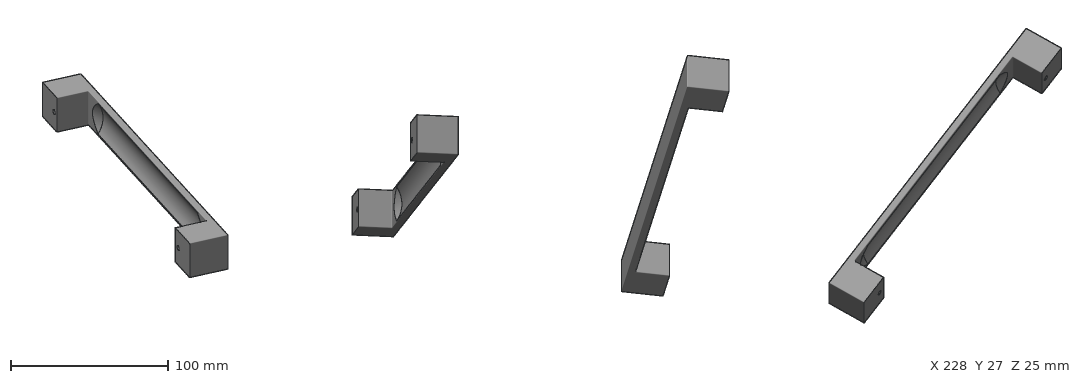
import cadquery as cq
import math

length = 228.0
depth = 27.0
height = 25.0

bar_thickness = 5.0
leg_width = 22.8
edge_radius = 0.5

scoop_width = 22.3
scoop_depth = 3.5
scoop_straight_length = 152.8
scoop_end_length = 8.7

hole_spacing = 192.0
hole_diameter = 3.2
hole_depth = 11.5
drill_point_angle = 118

front_y = -depth / 2
back_y = depth / 2
bar_front_y = back_y - bar_thickness
tolerance = 0.02


def make_body():
    """U-shaped handle, rounded everywhere except around the leg mounting faces."""
    block = cq.Workplane("XY").box(length, depth, height)
    gap_depth = depth - bar_thickness
    gap = (
        cq.Workplane("XY")
        .box(length - 2 * leg_width, gap_depth, height)
        .translate((0, front_y + gap_depth / 2, 0))
    )
    body = block.cut(gap)
    mounting_edges = cq.selectors.BoxSelector(
        (-length, front_y - tolerance, -height),
        (length, front_y + tolerance, height),
    )
    return body.edges(cq.selectors.InverseSelector(mounting_edges)).fillet(edge_radius)


def make_scoop():
    """Shallow cylindrical groove with conical ends, revolved about the groove axis."""
    half_width = scoop_width / 2
    groove_radius = (half_width**2 + scoop_depth**2) / (2 * scoop_depth)
    axis_offset = groove_radius - scoop_depth
    axis_y = bar_front_y - axis_offset
    half_straight = scoop_straight_length / 2
    scoop_half_length = half_straight + scoop_end_length
    scoop = (
        cq.Workplane("XY", origin=(0, axis_y, 0))
        .moveTo(-scoop_half_length, 0)
        .lineTo(-scoop_half_length, axis_offset)
        .lineTo(-half_straight, groove_radius)
        .lineTo(half_straight, groove_radius)
        .lineTo(scoop_half_length, axis_offset)
        .lineTo(scoop_half_length, 0)
        .close()
        .revolve(360, (0, 0, 0), (1, 0, 0))
    )
    bar_zone = (
        cq.Workplane("XY")
        .box(length, bar_thickness, height)
        .translate((0, bar_front_y + bar_thickness / 2, 0))
    )
    return scoop.intersect(bar_zone)


def make_hole(x):
    """Blind screw hole with a drill-point bottom, entering a leg from its mounting face."""
    radius = hole_diameter / 2
    point_length = radius / math.tan(math.radians(drill_point_angle / 2))
    return (
        cq.Workplane("XY", origin=(x, front_y, 0))
        .lineTo(radius, 0)
        .lineTo(radius, hole_depth)
        .lineTo(0, hole_depth + point_length)
        .close()
        .revolve(360, (0, 0, 0), (0, 1, 0))
    )


result = make_body().cut(make_scoop())
for hole_x in (-hole_spacing / 2, hole_spacing / 2):
    result = result.cut(make_hole(hole_x))